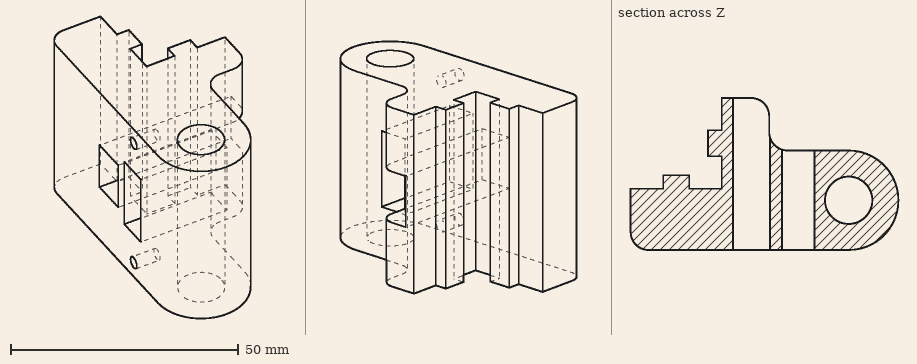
import cadquery as cq

length = 59.0
depth = 33.5
height = 42.0
corner_radius = 4.0

eye_radius = 11.0
bore_diameter = 10.4
eye_x = length - eye_radius

foot_depth = 13.5
arm_left = 20.05
arm_right = 30.55

key_width = 5.8
key_projection = 3.0
foot_key_left = 7.2
arm_key_front = 20.65

small_window_left = 22.6
small_window_width = 8.1
small_window_height = 12.0
large_window_left = 33.4
large_window_width = 7.1
large_window_height = 17.8
pin_diameter = 2.8
pin_depth = 5.9
pin_x = 37.45
pin_edge_distance = 4.0


def make_body():
    """Extrude the plan outline, rounding its convex and concave corners."""
    body = (
        cq.Workplane("XY")
        .moveTo(0, 0)
        .lineTo(eye_x, 0)
        .threePointArc((length, eye_radius), (eye_x, 2 * eye_radius))
        .lineTo(arm_right, 2 * eye_radius)
        .lineTo(arm_right, depth)
        .lineTo(arm_left, depth)
        .lineTo(arm_left, foot_depth)
        .lineTo(0, foot_depth)
        .close()
        .extrude(height)
    )
    rounded_corners = ((0, 0), (arm_right, depth), (arm_right, 2 * eye_radius))
    for x, y in rounded_corners:
        edge = cq.selectors.NearestToPointSelector((x, y, height / 2))
        body = body.edges("|Z").edges(edge).fillet(corner_radius)
    return body


def add_keys(body):
    """Add the two full-height keys in the stepped corner."""
    foot_key = cq.Workplane("XY").box(
        key_width, key_projection, height, centered=False
    ).translate((foot_key_left, foot_depth, 0))
    arm_key = cq.Workplane("XY").box(
        key_projection, key_width, height, centered=False
    ).translate((arm_left - key_projection, arm_key_front, 0))
    return body.union(foot_key).union(arm_key)


def cut_window(body, left, width, window_height):
    """Cut a rectangular window through the body along Y, centred in height."""
    bottom = (height - window_height) / 2
    window = cq.Workplane("XY").box(width, depth, window_height, centered=False)
    return body.cut(window.translate((left, 0, bottom)))


def cut_pin_hole(body, z):
    """Drill a blind pin hole into the front face."""
    pin = cq.Solid.makeCylinder(
        pin_diameter / 2, pin_depth, cq.Vector(pin_x, 0, z), cq.Vector(0, 1, 0)
    )
    return body.cut(cq.Workplane(obj=pin))


result = add_keys(make_body())
bore = cq.Workplane("XY").center(eye_x, eye_radius).circle(bore_diameter / 2).extrude(height)
result = result.cut(bore)
result = cut_window(result, small_window_left, small_window_width, small_window_height)
result = cut_window(result, large_window_left, large_window_width, large_window_height)
for pin_z in (pin_edge_distance, height - pin_edge_distance):
    result = cut_pin_hole(result, pin_z)